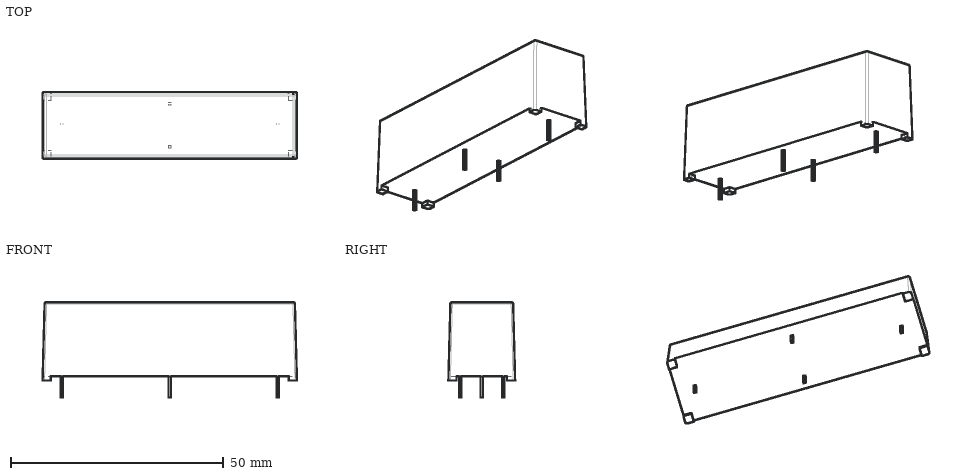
import cadquery as cq

HOUSING_LENGTH = 60.0
HOUSING_WIDTH = 15.8
HOUSING_HEIGHT = 18.5
DRAFT_ANGLE = 1.5
EDGE_RADIUS = 0.5

FOOT_HEIGHT = 1.0
FOOT_LENGTH = 2.0
FOOT_WIDTH = 2.0

OVERALL_HEIGHT = 22.5
PIN_LENGTH = OVERALL_HEIGHT - HOUSING_HEIGHT + FOOT_HEIGHT
PIN_SIZE = 0.6
GRID_PITCH = 2.54
END_PIN_X = 10 * GRID_PITCH
SIDE_PIN_Y = 2 * GRID_PITCH
PIN_POSITIONS = [
    (-END_PIN_X, 0),
    (END_PIN_X, 0),
    (0, -SIDE_PIN_Y),
    (0, SIDE_PIN_Y),
]


def make_underside_gap(length, width):
    """Block as tall as the feet, cut out of the housing to leave the feet standing."""
    return cq.Workplane("XY").rect(length, width).extrude(FOOT_HEIGHT)


def make_housing():
    """Drafted, rounded block with the underside cut away between its feet."""
    block = (
        cq.Workplane("XY")
        .rect(HOUSING_LENGTH, HOUSING_WIDTH)
        .extrude(HOUSING_HEIGHT, taper=DRAFT_ANGLE)
    )
    block = block.edges("not <Z").fillet(EDGE_RADIUS)

    gap_along_length = make_underside_gap(HOUSING_LENGTH - 2 * FOOT_LENGTH, HOUSING_WIDTH)
    gap_along_width = make_underside_gap(HOUSING_LENGTH, HOUSING_WIDTH - 2 * FOOT_WIDTH)
    return block.cut(gap_along_length).cut(gap_along_width)


def make_pin(x, y):
    """Square pin whose top end touches the underside of the housing."""
    return (
        cq.Workplane("XY", origin=(x, y, FOOT_HEIGHT))
        .rect(PIN_SIZE, PIN_SIZE)
        .extrude(-PIN_LENGTH)
    )


housing = make_housing()
pins = [make_pin(x, y) for x, y in PIN_POSITIONS]

result = cq.Compound.makeCompound([housing.val(), *[pin.val() for pin in pins]])